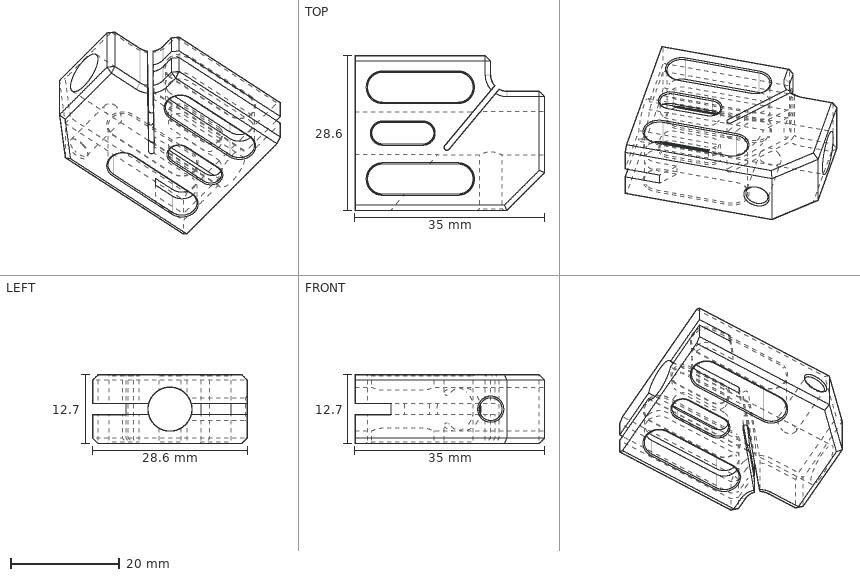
import cadquery as cq
import math

length = 35.0
width = 28.6
height = 12.7
mid_y = width / 2
mid_z = height / 2
edge_chamfer = 1.0

corner_cut = 7.0
step_x = 25.02
step_y = 22.05
step_radius = 3.0

bore_diameter = 8.1
screw_diameter = 4.2
screw_x = 25.02
screw_chamfer = 0.3

large_slot_start = 2.28
large_slot_length = 19.5
large_slot_width = 5.53
large_slot_offset = 8.47
small_slot_start = 3.05
small_slot_length = 11.48
small_slot_width = 4.0
slot_chamfer = 0.25

slit_width = 1.0
slit_end_x = 16.95
slit_end_y = 11.65
slit_angle = 50.2
split_height = 2.05

margin = 3.5


def make_body():
    """Plate with a cut corner and a filleted step, edges chamfered."""
    body = (
        cq.Workplane("XY")
        .moveTo(0, 0)
        .lineTo(length - corner_cut, 0)
        .lineTo(length, corner_cut)
        .lineTo(length, step_y)
        .lineTo(step_x + step_radius, step_y)
        .radiusArc((step_x, step_y + step_radius), step_radius)
        .lineTo(step_x, width)
        .lineTo(0, width)
        .close()
        .extrude(height)
    )
    rim = body.faces("<Z or >Z").edges("not <X")
    arm_corner = body.edges(cq.selectors.NearestToPointSelector((step_x, width, mid_z)))
    jaw_corner = body.edges(cq.selectors.NearestToPointSelector((length, step_y, mid_z)))
    return rim.add(arm_corner).add(jaw_corner).chamfer(edge_chamfer)


def slot_prism(start_x, center_y, slot_length, slot_width, taper=0, depth=height):
    """Round-ended upright prism that stands on Z = 0 and starts at start_x."""
    return (
        cq.Workplane("XY", origin=(start_x + slot_length / 2, center_y, 0))
        .slot2D(slot_length, slot_width)
        .extrude(depth, taper=taper)
    )


def slot_cutter(start_x, center_y, slot_length, slot_width):
    """Through slot whose two rims flare out as 45 degree chamfers."""
    lower_flare = slot_prism(
        start_x - slot_chamfer,
        center_y,
        slot_length + 2 * slot_chamfer,
        slot_width + 2 * slot_chamfer,
        taper=45,
        depth=slot_chamfer,
    )
    upper_flare = lower_flare.mirror("XY", (0, 0, mid_z))
    through = slot_prism(start_x, center_y, slot_length, slot_width)
    return through.union(lower_flare).union(upper_flare)


def bore_cutter():
    return cq.Workplane("YZ", origin=(0, mid_y, mid_z)).circle(bore_diameter / 2).extrude(length)


def screw_cutter():
    """Chamfered hole from the Y = 0 face into the bore."""
    radius = screw_diameter / 2
    hole = cq.Workplane("XZ", origin=(screw_x, 0, mid_z)).circle(radius).extrude(-mid_y)
    countersink = cq.Solid.makeCone(
        radius + screw_chamfer,
        radius,
        screw_chamfer,
        pnt=cq.Vector(screw_x, 0, mid_z),
        dir=cq.Vector(0, 1, 0),
    )
    return hole.union(cq.Workplane(countersink))


def slit_cutter():
    """Diagonal slit with a round inner end, open at the step."""
    slit_length = length / 2
    slit = slot_prism(-slit_width / 2, 0, slit_length, slit_width)
    return slit.rotate((0, 0, 0), (0, 0, 1), slit_angle).translate((slit_end_x, slit_end_y, 0))


def split_cutter():
    """Horizontal split of everything on the X = 0 side of the slit's near wall."""
    angle = math.radians(slit_angle)
    wall_x = slit_end_x - slit_width / 2 * math.sin(angle)
    wall_y = slit_end_y + slit_width / 2 * math.cos(angle)

    def wall_point(y):
        return (wall_x + (y - wall_y) / math.tan(angle), y)

    return (
        cq.Workplane("XY", origin=(0, 0, mid_z - split_height / 2))
        .polyline([
            (-margin, -margin),
            wall_point(-margin),
            wall_point(width + margin),
            (-margin, width + margin),
        ])
        .close()
        .extrude(split_height)
    )


result = make_body()
for side in (-1, 1):
    slot_y = mid_y + side * large_slot_offset
    result = result.cut(slot_cutter(large_slot_start, slot_y, large_slot_length, large_slot_width))
result = result.cut(slot_cutter(small_slot_start, mid_y, small_slot_length, small_slot_width))
for cutter in (bore_cutter(), screw_cutter(), slit_cutter(), split_cutter()):
    result = result.cut(cutter)